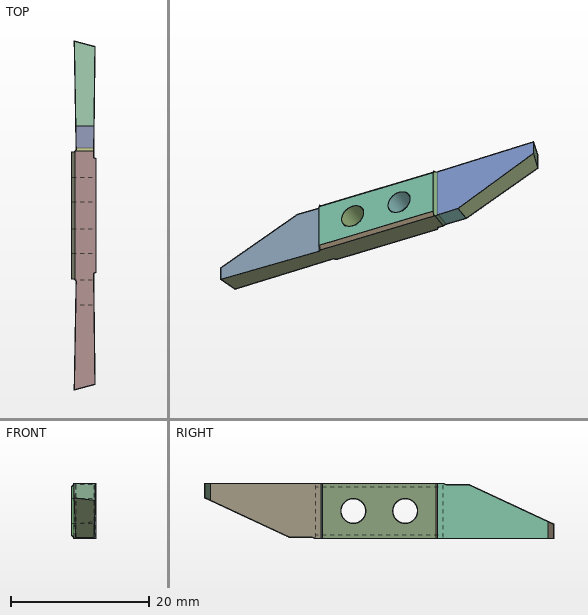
import cadquery as cq
import math


thickness = 3.6
length = 50.5
height = 8.0
front_x = -thickness / 2
back_x = thickness / 2
tip_y = length / 2
top_z = height / 2

front_shoulder_y = 9.2
back_shoulder_y = 8.2
back_ramp_length = 0.2
edge_chamfer_size = 0.5

front_fillet_radius = 0.4
edge_step = 0.17
edge_fillet_radius = 0.7
edge_step_y = 9.3

root_front_x = -1.115
root_front_y = front_shoulder_y + front_fillet_radius
root_back_x = 1.45
front_taper = math.radians(1.0)
back_taper = math.radians(0.7)
end_skew = math.radians(15)
slope_angle = math.radians(25)
tip_height = 2.1

hole_diameter = 3.55
hole_spacing = 7.5


def make_plan():
    """Plan outline swept along Z, symmetric about the X axis."""
    blade_length = tip_y - root_front_y
    tip_front_x = root_front_x - blade_length * math.tan(front_taper)
    back_root_y = back_shoulder_y + back_ramp_length
    root_width = root_back_x - tip_front_x
    reach = tip_y - back_root_y - root_width * math.tan(end_skew)
    back_reach = reach / (1 + math.tan(back_taper) * math.tan(end_skew))
    tip_back_x = root_back_x + back_reach * math.tan(back_taper)

    fillet_diagonal = front_fillet_radius * math.sin(math.radians(45))
    fillet_mid_x = root_front_x - front_fillet_radius + fillet_diagonal
    fillet_mid_y = root_front_y - fillet_diagonal
    half = (
        cq.Workplane("XY")
        .moveTo(0, 0)
        .lineTo(front_x, 0)
        .lineTo(front_x, front_shoulder_y)
        .lineTo(root_front_x - front_fillet_radius, front_shoulder_y)
        .threePointArc((fillet_mid_x, fillet_mid_y), (root_front_x, root_front_y))
        .lineTo(tip_front_x, tip_y)
        .lineTo(tip_back_x, back_root_y + back_reach)
        .lineTo(root_back_x, back_root_y)
        .lineTo(back_x, back_shoulder_y)
        .lineTo(back_x, 0)
        .close()
        .extrude(top_z, both=True)
    )
    return half.union(half.mirror("XZ"))


def make_side():
    """Side outline swept along X, unchanged by a half turn."""
    blade_top_z = top_z - edge_step
    tip_top_z = -top_z + tip_height
    slope_length = (blade_top_z - tip_top_z) / math.tan(slope_angle)

    fillet_angle = math.acos(1 - edge_step / edge_fillet_radius)
    fillet_end_y = edge_step_y + edge_fillet_radius * math.sin(fillet_angle)
    fillet_mid_y = fillet_end_y - edge_fillet_radius * math.sin(fillet_angle / 2)
    fillet_mid_z = blade_top_z + edge_fillet_radius * (1 - math.cos(fillet_angle / 2))

    outline = cq.Workplane("YZ").moveTo(-tip_y, top_z)
    for turn in (1, -1):
        outline = (
            outline.lineTo(turn * edge_step_y, turn * top_z)
            .threePointArc(
                (turn * fillet_mid_y, turn * fillet_mid_z),
                (turn * fillet_end_y, turn * blade_top_z),
            )
            .lineTo(turn * (tip_y - slope_length), turn * blade_top_z)
            .lineTo(turn * tip_y, turn * tip_top_z)
            .lineTo(turn * tip_y, -turn * top_z)
        )
    return outline.close().extrude(thickness, both=True)


def edge_chamfer(side):
    """Wedge along the long front edge of the body; side is +1 for the top, -1 for the bottom."""
    corner = [
        (front_x, side * top_z),
        (front_x + edge_chamfer_size, side * top_z),
        (front_x, side * (top_z - edge_chamfer_size)),
    ]
    return cq.Workplane("XZ").polyline(corner).close().extrude(front_shoulder_y, both=True)


def screw_holes():
    """Two round holes through the body along X."""
    return (
        cq.Workplane("YZ")
        .pushPoints([(-hole_spacing / 2, 0), (hole_spacing / 2, 0)])
        .circle(hole_diameter / 2)
        .extrude(thickness, both=True)
    )


result = make_plan().intersect(make_side())
for side in (1, -1):
    result = result.cut(edge_chamfer(side))
result = result.cut(screw_holes())